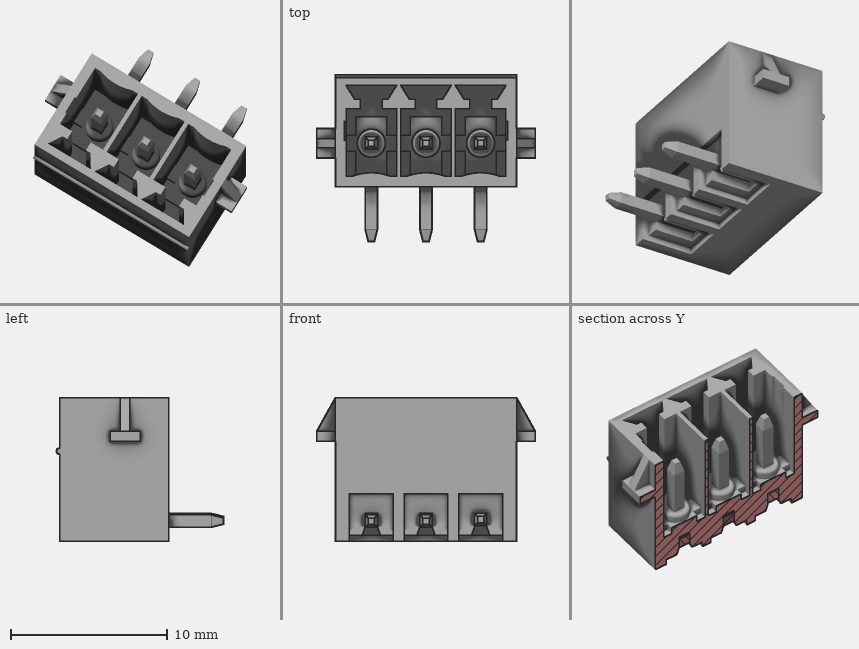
import cadquery as cq

POLES = 3
PITCH = 3.5
POLE_XS = [(i - (POLES - 1) / 2) * PITCH for i in range(POLES)]
EPS = 0.5

HOUSING_X = 11.6
HOUSING_Y = 7.0
HOUSING_Z = 9.2
AXIS_Y = 2.8

PIN_SIZE = 0.8
PIN_TIP = 0.4
PIN_TAPER = 0.8
PIN_REACH = 3.5
PIN_TOP_Z = 7.7
PIN_UNDER_Z = 1.0
PIN_DROPS = [0.1, 0.1, 0.0]

WALL_BETWEEN = 0.27
CAVITY_X = PITCH - WALL_BETWEEN
CAVITY_FRONT_Y = 0.7
SHOULDER_FRONT_Y = 5.0
SHOULDER_BACK_Y = 5.6
CAVITY_BACK_Y = 6.5
NECK_X = 1.4
DOVETAIL_MOUTH_X = 2.1
FLOOR_Z = 2.5
CURVE_X = 2.4
CURVE_RISE = 0.21

PLATFORM_Z = 3.0
PLATFORM_X = 2.0
PLATFORM_BACK_Y = 4.5
CROSS_RIB_Y = 1.0
BOSS_DIAMETER = 1.8
BOSS_TOP_Z = 3.6
BOSS_FILLET = 0.2

NOTCH_DEPTH = 0.11
NOTCH_FRONT_Y = 3.0
NOTCH_BACK_Y = 4.2
NOTCH_LOW_Z = 6.2

WINDOW_X = 2.8
WINDOW_Z = 3.05
WINDOW_DEPTH = 0.45
BASE_POCKET_Z = 0.4
BASE_POCKET_Y = 3.6
FLARE_X = 1.16
FLARE_TOP_Z = PIN_UNDER_Z - max(PIN_DROPS)

LATCH_X = 1.2
LATCH_BAR_Y = 1.9
LATCH_BAR_LOW_Z = 6.4
LATCH_BAR_HIGH_Z = 7.05
LATCH_RIB_Y = 0.6

BEAD_RADIUS = 0.2
BEAD_Z = 5.78


def block(x0, x1, y0, y1, z0, z1):
    """Box between two opposite corners."""
    return cq.Workplane("XY").box(x1 - x0, y1 - y0, z1 - z0, centered=False).translate((x0, y0, z0))


def cavity(x):
    """Plug cavity: bulged front wall, shoulders, neck and dovetail at the back."""
    half = CAVITY_X / 2
    bulge_y = CAVITY_FRONT_Y + CURVE_RISE
    return (
        cq.Workplane("XY", origin=(x, 0, FLOOR_Z))
        .moveTo(-half, CAVITY_FRONT_Y)
        .lineTo(-CURVE_X / 2, CAVITY_FRONT_Y)
        .threePointArc((0, bulge_y), (CURVE_X / 2, CAVITY_FRONT_Y))
        .lineTo(half, CAVITY_FRONT_Y)
        .lineTo(half, SHOULDER_FRONT_Y)
        .lineTo(NECK_X / 2, SHOULDER_FRONT_Y)
        .lineTo(NECK_X / 2, SHOULDER_BACK_Y)
        .lineTo(DOVETAIL_MOUTH_X / 2, SHOULDER_BACK_Y)
        .lineTo(half, CAVITY_BACK_Y)
        .lineTo(-half, CAVITY_BACK_Y)
        .lineTo(-DOVETAIL_MOUTH_X / 2, SHOULDER_BACK_Y)
        .lineTo(-NECK_X / 2, SHOULDER_BACK_Y)
        .lineTo(-NECK_X / 2, SHOULDER_FRONT_Y)
        .lineTo(-half, SHOULDER_FRONT_Y)
        .close()
        .extrude(HOUSING_Z + EPS - FLOOR_Z)
    )


def floor_platform(x):
    """Platform and cross rib that carry the round boss around the pin."""
    platform = block(
        x - PLATFORM_X / 2, x + PLATFORM_X / 2, CAVITY_FRONT_Y, PLATFORM_BACK_Y, FLOOR_Z, PLATFORM_Z
    )
    rib = block(
        x - PITCH / 2, x + PITCH / 2,
        AXIS_Y - CROSS_RIB_Y / 2, AXIS_Y + CROSS_RIB_Y / 2,
        FLOOR_Z, PLATFORM_Z,
    )
    boss = (
        cq.Workplane("XY", origin=(x, AXIS_Y, FLOOR_Z))
        .circle(BOSS_DIAMETER / 2)
        .extrude(BOSS_TOP_Z - FLOOR_Z)
        .faces(">Z")
        .edges()
        .fillet(BOSS_FILLET)
    )
    return platform.union(rib).union(boss)


def keying_notch(side):
    """Shallow lead-in notch in an end wall, deepest at the top and running out lower down."""
    wall_x = POLE_XS[-1] + CAVITY_X / 2
    notch = (
        cq.Workplane("XZ", origin=(0, NOTCH_FRONT_Y, 0))
        .moveTo(wall_x, NOTCH_LOW_Z)
        .lineTo(wall_x + NOTCH_DEPTH, HOUSING_Z)
        .lineTo(wall_x, HOUSING_Z)
        .close()
        .extrude(NOTCH_FRONT_Y - NOTCH_BACK_Y)
    )
    return notch if side > 0 else notch.mirror("YZ")


def pin_passage(x):
    """Window, underside pocket, flared slot and upright hole for one pin."""
    window = block(x - WINDOW_X / 2, x + WINDOW_X / 2, -EPS, WINDOW_DEPTH, -EPS, WINDOW_Z)
    pocket = block(x - WINDOW_X / 2, x + WINDOW_X / 2, -EPS, BASE_POCKET_Y, -EPS, BASE_POCKET_Z)
    slot_top_z = PIN_UNDER_Z + PIN_SIZE
    slot_back_y = AXIS_Y + PIN_SIZE / 2
    slot = (
        cq.Workplane("XZ", origin=(x, 0, 0))
        .moveTo(-FLARE_X / 2, BASE_POCKET_Z)
        .lineTo(-PIN_SIZE / 2, FLARE_TOP_Z)
        .lineTo(-PIN_SIZE / 2, slot_top_z)
        .lineTo(PIN_SIZE / 2, slot_top_z)
        .lineTo(PIN_SIZE / 2, FLARE_TOP_Z)
        .lineTo(FLARE_X / 2, BASE_POCKET_Z)
        .close()
        .extrude(-slot_back_y)
    )
    upright = block(
        x - PIN_SIZE / 2, x + PIN_SIZE / 2,
        AXIS_Y - PIN_SIZE / 2, slot_back_y,
        PIN_UNDER_Z, HOUSING_Z,
    )
    return window.union(pocket).union(slot).union(upright)


def latch(side):
    """T-shaped latch: a cross bar under a thin sloping rib."""
    end_x = HOUSING_X / 2
    bar = block(
        end_x, end_x + LATCH_X,
        AXIS_Y - LATCH_BAR_Y / 2, AXIS_Y + LATCH_BAR_Y / 2,
        LATCH_BAR_LOW_Z, LATCH_BAR_HIGH_Z,
    )
    rib = (
        cq.Workplane("XZ", origin=(0, AXIS_Y, 0))
        .moveTo(end_x, LATCH_BAR_HIGH_Z)
        .lineTo(end_x + LATCH_X, LATCH_BAR_HIGH_Z)
        .lineTo(end_x, HOUSING_Z)
        .close()
        .extrude(LATCH_RIB_Y / 2, both=True)
    )
    tee = bar.union(rib)
    return tee if side > 0 else tee.mirror("YZ")


def make_housing():
    """Block with cavities, latches, bead and pin passages."""
    body = block(-HOUSING_X / 2, HOUSING_X / 2, 0, HOUSING_Y, 0, HOUSING_Z)
    for x in POLE_XS:
        body = body.cut(cavity(x))
    for side in (-1, 1):
        body = body.cut(keying_notch(side)).union(latch(side))
    bead = (
        cq.Workplane("YZ", origin=(0, HOUSING_Y, BEAD_Z))
        .circle(BEAD_RADIUS)
        .extrude(HOUSING_X / 2, both=True)
    )
    body = body.union(bead)
    for x in POLE_XS:
        body = body.union(floor_platform(x)).cut(pin_passage(x))
    return body


def tapered_leg(length):
    """Square leg along +Z from the origin, ending in a tapered tip."""
    return (
        cq.Workplane("XY")
        .rect(PIN_SIZE, PIN_SIZE)
        .extrude(length - PIN_TAPER)
        .faces(">Z")
        .workplane()
        .rect(PIN_SIZE, PIN_SIZE)
        .workplane(offset=PIN_TAPER)
        .rect(PIN_TIP, PIN_TIP)
        .loft(combine=True)
    )


def make_pin(x, drop):
    """L-shaped pin with a square outer corner and both ends tapered."""
    half = PIN_SIZE / 2
    upright = tapered_leg(PIN_TOP_Z - PIN_UNDER_Z).translate((0, 0, -half))
    lying = tapered_leg(AXIS_Y + PIN_REACH).rotate((0, 0, 0), (1, 0, 0), 90)
    return upright.union(lying).translate((x, AXIS_Y, PIN_UNDER_Z + half - drop))


housing = make_housing()
pins = [make_pin(x, drop) for x, drop in zip(POLE_XS, PIN_DROPS)]
result = cq.Compound.makeCompound([housing.val()] + [pin.val() for pin in pins])